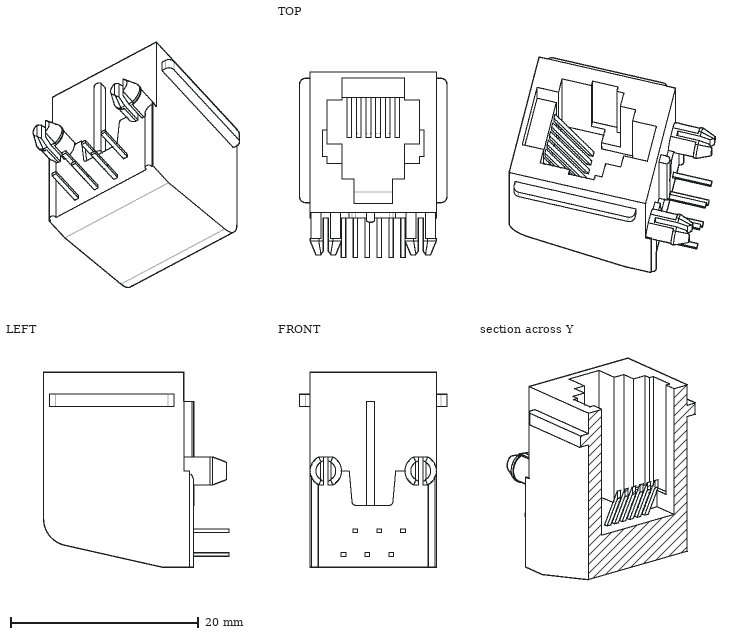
import cadquery as cq
import math


body_width = 13.54
body_depth = 15.0
body_height = 20.83
base_flat_depth = 2.3
base_slope = math.radians(12.7)
back_corner_radius = 2.92

pad_thickness = 0.6
pad_height = 10.3
notch_centre_x = -0.08
notch_bottom = 6.62
notch_top_width = 4.95
notch_bottom_width = 4.3
notch_corner_radius = 0.37

column_radius = 0.37
column_reach = 1.05
column_spacing = 12.48
rib_centre_x = -0.3
rib_width = 0.87
rib_top = 17.7
rib_reach = 1.06
rib_side_reach = 0.87

flange_span = 15.75
flange_bottom = 17.16
flange_top = 18.5
flange_front = 1.05
flange_back = 14.33
flange_corner_radius = 0.65

peg_spacing = 10.12
peg_height = pad_height
shank_radius = 1.58
lip_radius = 1.677
tip_radius = 1.06
peg_half_height = 1.5
tip_half_height = 0.94
lip_start = 2.77
lip_end = 3.06
peg_reach = 4.55
slot_half_width = 0.25
slot_mouth_half_width = 0.56
slot_mouth_depth = 0.42

pin_width = 0.5
pin_thickness = 0.4
pin_reach = 4.81
pin_pitch = 2.55
pin_rows = 1.37, 3.92
pin_stagger = pin_pitch / 4

cavity_floor = 6.45
shelf_level = 8.33
back_ledge_level = 17.5
keyway_half_width = 2.05
throat_half_width = 3.35
plug_half_width = 4.92
groove_half_width = 5.44
keyway_front = 0.95
keyway_ramp_end = 2.17
keyway_slope = math.radians(3.5)
throat_front = 3.56
plug_front = 5.23
groove_front = 6.0
shelf_back = 7.3
groove_back = 8.8
plug_back = 12.02
contact_wall = 12.27
throat_back = 14.37

contact_count = 6
contact_pitch = 1.02
contact_width = 0.5
contact_thickness = 0.4
contact_top = 15.41
contact_front = 7.98


def block(half_width, y_front, y_back, z_bottom, z_top):
    """Box centred on x = 0."""
    size = 2 * half_width, y_back - y_front, z_top - z_bottom
    return cq.Workplane("XY").box(*size, centered=(True, False, False)).translate((0, y_front, z_bottom))


def side_prism(points, width):
    """Outline in Y and Z, extruded evenly to both sides of x = 0."""
    return cq.Workplane("YZ").polyline(points).close().extrude(width / 2, both=True)


def make_body():
    """Block whose bottom slopes up to a rounded back corner."""
    back_bottom = (body_depth - base_flat_depth) * math.tan(base_slope)
    outline = [
        (0, 0),
        (base_flat_depth, 0),
        (body_depth, back_bottom),
        (body_depth, body_height),
        (0, body_height),
    ]
    return side_prism(outline, body_width).faces(">Y").edges("<Z").fillet(back_corner_radius)


def make_pad():
    """Plate on the lower front wall, with a tapered notch and two columns."""
    pad = block(body_width / 2, -pad_thickness, 0, 0, pad_height)
    notch = (
        cq.Workplane("XZ")
        .polyline([
            (notch_centre_x - notch_top_width / 2, pad_height),
            (notch_centre_x + notch_top_width / 2, pad_height),
            (notch_centre_x + notch_bottom_width / 2, notch_bottom),
            (notch_centre_x - notch_bottom_width / 2, notch_bottom),
        ])
        .close()
        .extrude(pad_thickness)
        .faces("<Z")
        .edges("|Y")
        .fillet(notch_corner_radius)
    )
    columns = (
        cq.Workplane("XY")
        .pushPoints([(side * column_spacing / 2, column_radius - column_reach) for side in (-1, 1)])
        .circle(column_radius)
        .extrude(pad_height)
    )
    return pad.cut(notch).union(columns)


def make_rib():
    """Upright rib with a bowed front face."""
    left = rib_centre_x - rib_width / 2
    right = rib_centre_x + rib_width / 2
    return (
        cq.Workplane("XY", origin=(0, 0, notch_bottom))
        .moveTo(left, 0)
        .lineTo(left, -rib_side_reach)
        .threePointArc((rib_centre_x, -rib_reach), (right, -rib_side_reach))
        .lineTo(right, 0)
        .close()
        .extrude(rib_top - notch_bottom)
    )


def make_flanges():
    """One rounded bar through the housing, standing out on both sides."""
    bar = block(flange_span / 2, flange_front, flange_back, flange_bottom, flange_top)
    return bar.edges("|Z").fillet(flange_corner_radius)


def make_peg():
    """Lipped peg with flats above and below, split by an upright slot."""
    turned = (
        cq.Workplane("XY")
        .polyline([
            (0, 0),
            (shank_radius, 0),
            (shank_radius, -lip_start),
            (lip_radius, -lip_start),
            (lip_radius, -lip_end),
            (tip_radius, -peg_reach),
            (0, -peg_reach),
        ])
        .close()
        .revolve(360, (0, 0, 0), (0, 1, 0))
    )
    flats = side_prism(
        [
            (0, -peg_half_height),
            (0, peg_half_height),
            (-lip_end, peg_half_height),
            (-peg_reach, tip_half_height),
            (-peg_reach, -tip_half_height),
            (-lip_end, -peg_half_height),
        ],
        2 * lip_radius,
    )
    slot = (
        cq.Workplane("XY")
        .polyline([
            (-slot_half_width, -pad_thickness),
            (slot_half_width, -pad_thickness),
            (slot_half_width, slot_mouth_depth - peg_reach),
            (slot_mouth_half_width, -peg_reach),
            (-slot_mouth_half_width, -peg_reach),
            (-slot_half_width, slot_mouth_depth - peg_reach),
        ])
        .close()
        .extrude(lip_radius, both=True)
    )
    return turned.intersect(flats).cut(slot)


def make_pins():
    """Two rows of three pins, staggered by half a pitch."""
    spots = [
        (row_shift + step * pin_pitch, height)
        for row_shift, height in zip((-pin_stagger, pin_stagger), pin_rows)
        for step in (-1, 0, 1)
    ]
    return cq.Workplane("XZ").pushPoints(spots).rect(pin_width, pin_thickness).extrude(pin_reach)


def make_cavity():
    """Stepped plug opening, with shelves at its sides and a ledge at its back."""
    ramp_drop = (keyway_ramp_end - keyway_front) * math.tan(keyway_slope)
    keyway = side_prism(
        [
            (keyway_front, cavity_floor - ramp_drop),
            (keyway_ramp_end, cavity_floor),
            (throat_front, cavity_floor),
            (throat_front, body_height),
            (keyway_front, body_height),
        ],
        2 * keyway_half_width,
    )
    recesses = [
        (throat_half_width, throat_front, contact_wall, cavity_floor),
        (throat_half_width, contact_wall, throat_back, back_ledge_level),
        (plug_half_width, shelf_back, plug_back, cavity_floor),
        (plug_half_width, plug_front, shelf_back, shelf_level),
        (groove_half_width, groove_front, groove_back, shelf_level),
    ]
    cavity = keyway
    for half_width, y_front, y_back, z_bottom in recesses:
        cavity = cavity.union(block(half_width, y_front, y_back, z_bottom, body_height))
    return cavity


def make_contacts():
    """Row of parallel springs sloping from the contact wall down to the cavity floor."""
    slope = math.atan2(contact_top - cavity_floor, contact_wall - contact_front)
    run = contact_thickness / math.sin(slope)
    spring = side_prism(
        [
            (contact_front, cavity_floor),
            (contact_wall, contact_top),
            (contact_wall + run, contact_top),
            (contact_front + run, cavity_floor),
        ],
        contact_width,
    )
    contacts = cq.Workplane("XY")
    for index in range(contact_count):
        x = (index - (contact_count - 1) / 2) * contact_pitch
        contacts = contacts.add(spring.translate((x, 0, 0)))
    return contacts.combine()


result = make_body().union(make_pad()).union(make_rib()).union(make_flanges())
peg = make_peg()
for side in (-1, 1):
    result = result.union(peg.translate((side * peg_spacing / 2, 0, peg_height)))
result = result.union(make_pins()).cut(make_cavity()).union(make_contacts())